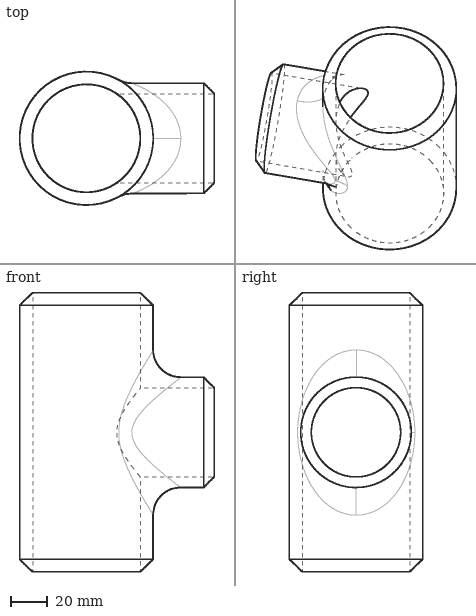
import cadquery as cq

run_length = 152.4
run_diameter = 73.0
run_bore = 58.8
run_bevel_width = 7.0
run_bevel_height = 6.9

branch_diameter = 60.4
branch_bore = 48.8
branch_bevel = 5.8
overall_width = 106.4
branch_reach = overall_width - run_diameter / 2

blend_radius = 15.0


def along_x(diameter, length):
    """Cylinder from the run axis out along +X."""
    return cq.Workplane("YZ").circle(diameter / 2).extrude(length)


def along_z(diameter, length):
    """Cylinder on the run axis, centred on the origin."""
    return cq.Workplane("XY").circle(diameter / 2).extrude(length / 2, both=True)


def solid_tee():
    """Run and branch joined, with the crease between them rounded."""
    body = along_z(run_diameter, run_length).union(along_x(branch_diameter, branch_reach))
    crease_zone = cq.selectors.BoxSelector(
        (0, -run_diameter / 2, -run_diameter / 2),
        (branch_reach - branch_bevel, run_diameter / 2, run_diameter / 2),
    )
    crease = body.edges(crease_zone).edges("not(%CIRCLE or %LINE)")
    return body.newObject(crease.vals()).fillet(blend_radius)


def bevel_ends(body):
    """Weld bevels on both run ends and on the branch end."""
    body = body.faces("<Z or >Z").edges().chamfer(run_bevel_height, run_bevel_width)
    return body.faces(">X").edges().chamfer(branch_bevel)


tee = bevel_ends(solid_tee())
result = tee.cut(along_z(run_bore, run_length)).cut(along_x(branch_bore, branch_reach))